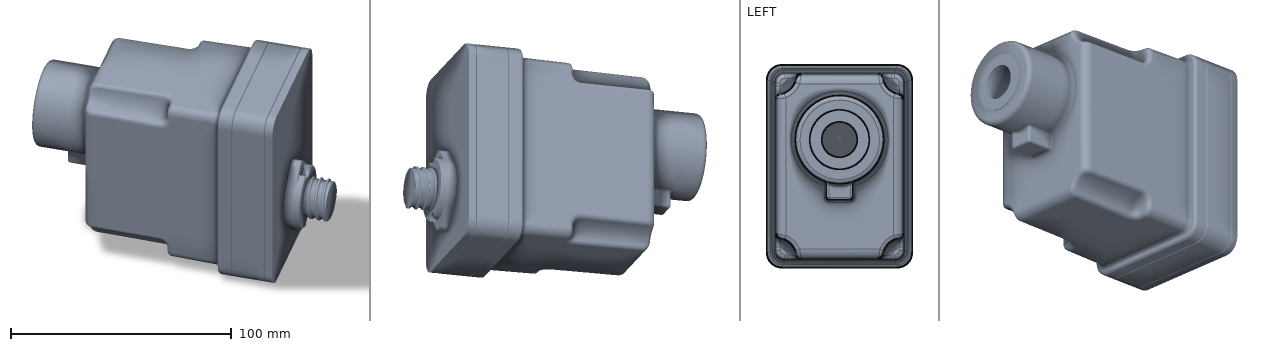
import cadquery as cq
import math

insert_proud = 0.4
body_start = 27.5
flange_start = 91.7
seam_centres = (98.6, 113.8)
housing_end = 117.8
overall_length = 136.0

flange_width = 66.0
flange_height = 92.0
flange_corner_radius = 7.1
flange_edge_radius = 1.5
seam_edge_radius = 0.6
body_front_width = 56.8
body_front_height = 83.0
draft_angle = 0.75
body_edge_radius = 4.1

scoop_radius = 9.0
scoop_end = 66.8
scoop_end_radius = 3.8
scoop_rim_radius = 2.0
contact_tolerance = 0.001

barrel_z = 12.1
barrel_diameter = 40.0
barrel_edge_radius = 2.0
insert_diameter = 26.9
insert_bore = 16.0
insert_length = 27.2
key_start = 13.6
key_width = 11.8
key_bottom = -15.1
key_edge_radius = 1.02
key_root_radius = 1.1
joint_overlap = 1.4

connector_z = -15.9
hub_diameter = 29.1
hub_length = 7.3
hub_chamfer = 0.4
hub_end = housing_end + hub_length
lug_radius = 3.89
lug_offset = 15.0
lug_thickness = 4.4
screw_clearance_diameter = 7.5
thread_core_diameter = 17.7
thread_crest_diameter = 19.5
thread_pitch = 3.47
thread_root_width = 1.6
thread_crest_width = 0.7
thread_first_crest = 126.9
thread_embed = 0.3


def disc(x, z, diameter, length):
    """Cylinder along +X, starting at x, with its axis at height z."""
    return cq.Workplane("YZ", origin=(x, 0, z)).circle(diameter / 2).extrude(length)


def make_tapered_blank():
    """Drafted box that grows towards the flange, with its long and front edges rounded."""
    length = flange_start - body_start
    growth = 2 * length * math.tan(math.radians(draft_angle))
    return (
        cq.Workplane("YZ", origin=(flange_start, 0, 0))
        .rect(body_front_width + growth, body_front_height + growth)
        .extrude(-length, taper=draft_angle)
        .edges("(not <X) and (not >X)")
        .fillet(body_edge_radius)
        .faces("<X")
        .edges()
        .fillet(body_edge_radius)
    )


def make_scoop(side_y, side_z):
    """Round-ended cutter centred on one front corner of the body; the sides are +1 or -1."""
    corner = (0, side_y * body_front_width / 2, side_z * body_front_height / 2)
    return (
        cq.Workplane("YZ", origin=corner)
        .circle(scoop_radius)
        .extrude(scoop_end)
        .faces(">X")
        .edges()
        .fillet(scoop_end_radius)
    )


def lies_on(point, workplane):
    """True if the point is on the surface of the workplane's solid."""
    surface = workplane.val().Shells()[0]
    return cq.Vertex.makeVertex(*point.toTuple()).distance(surface) < contact_tolerance


def make_scooped_body():
    """Tapered body with a scoop along each long edge; the scoop rims are rounded."""
    blank = make_tapered_blank()
    body = blank
    rims = []
    scoops = [make_scoop(side_y, side_z) for side_y in (-1, 1) for side_z in (-1, 1)]
    for scoop in scoops:
        body = body.cut(scoop)
    for edge in body.edges().vals():
        middle = edge.positionAt(0.5)
        if lies_on(middle, blank) and any(lies_on(middle, scoop) for scoop in scoops):
            rims.append(edge)
    return body.newObject(rims).fillet(scoop_rim_radius)


def make_flange():
    return (
        cq.Workplane("YZ", origin=(flange_start, 0, 0))
        .rect(flange_width, flange_height)
        .extrude(housing_end - flange_start)
        .edges("|X")
        .fillet(flange_corner_radius)
        .faces("<X")
        .edges()
        .fillet(flange_edge_radius)
    )


def make_barrel():
    return (
        disc(insert_proud, barrel_z, barrel_diameter, body_start + joint_overlap - insert_proud)
        .faces("<X")
        .edges()
        .fillet(barrel_edge_radius)
    )


def make_key():
    """Rectangular key that runs along the underside of the barrel to the body."""
    return (
        cq.Workplane("XY", origin=(key_start, -key_width / 2, key_bottom))
        .box(body_start + joint_overlap - key_start, key_width, barrel_z - key_bottom, centered=False)
        .edges("|X and <Z")
        .fillet(key_edge_radius)
        .faces("<X")
        .edges()
        .fillet(key_edge_radius)
    )


def edges_in_plane(part, x, half_width, bottom, top):
    """Edges lying flat at x whose centres are inside the given Y and Z limits."""
    found = []
    for edge in part.edges().vals():
        centre = edge.Center()
        flat = edge.BoundingBox().xlen < 0.01 and abs(centre.x - x) < 0.01
        if flat and abs(centre.y) < half_width and bottom < centre.z < top:
            found.append(edge)
    return part.newObject(found)


def make_whole_housing():
    housing = make_scooped_body().union(make_flange())
    body_root = edges_in_plane(housing, flange_start, flange_width / 2 - 2.0, -44.9, 44.9)
    housing = body_root.fillet(flange_edge_radius)
    housing = housing.union(make_barrel())
    barrel_top = barrel_z + barrel_diameter / 2
    barrel_root = edges_in_plane(housing, body_start, 1.4, barrel_z - 1.4, barrel_z + 1.4)
    housing = barrel_root.fillet(barrel_edge_radius)
    housing = housing.union(make_key())
    key_root = edges_in_plane(housing, body_start, key_width, key_bottom - 1.4, -9.5)
    housing = key_root.fillet(key_root_radius)
    return housing.cut(disc(0, barrel_z, insert_diameter, insert_length))


def make_housing_parts():
    """Housing split at its seams; the edges that meet at each seam are rounded."""
    whole = make_whole_housing()
    limits = (0, *seam_centres, housing_end)
    parts = []
    for index in range(len(limits) - 1):
        start = limits[index]
        length = limits[index + 1] - start
        slab = cq.Workplane("YZ", origin=(start, 0, 0)).rect(overall_length, overall_length).extrude(length)
        part = whole.intersect(slab)
        if limits[index + 1] in seam_centres:
            part = part.faces(">X").edges().fillet(seam_edge_radius)
        if start in seam_centres:
            part = part.faces("<X").edges().fillet(seam_edge_radius)
        parts.append(part)
    return parts


def make_insert():
    return disc(0, barrel_z, insert_diameter, insert_length).cut(
        disc(0, barrel_z, insert_bore, insert_length)
    )


def make_lug(side):
    """Tapered lug whose flanks are tangent to the hub; side is +1 for up, -1 for down."""
    hub_radius = hub_diameter / 2
    flank_angle = math.acos((hub_radius - lug_radius) / lug_offset)
    across = math.sin(flank_angle)
    along = math.cos(flank_angle)
    hub_y = hub_radius * across
    hub_z = side * hub_radius * along
    tip_y = lug_radius * across
    tip_z = side * (lug_offset + lug_radius * along)
    return (
        cq.Workplane("YZ", origin=(housing_end, 0, connector_z))
        .moveTo(-hub_y, hub_z)
        .lineTo(-tip_y, tip_z)
        .threePointArc((0, side * (lug_offset + lug_radius)), (tip_y, tip_z))
        .lineTo(hub_y, hub_z)
        .close()
        .extrude(lug_thickness)
    )


def make_threaded_post():
    """Core with a right-hand helical ridge, trimmed between the hub and the outer end."""
    turns = math.ceil((overall_length - hub_end) / thread_pitch) + 1
    core_radius = thread_core_diameter / 2
    crest_radius = thread_crest_diameter / 2
    root_radius = core_radius - thread_embed
    ridge_profile = [
        (root_radius, -thread_root_width / 2),
        (crest_radius, -thread_crest_width / 2),
        (crest_radius, thread_crest_width / 2),
        (root_radius, thread_root_width / 2),
    ]
    helix = cq.Wire.makeHelix(thread_pitch, turns * thread_pitch, core_radius)
    ridge = cq.Workplane("XZ").polyline(ridge_profile).close().sweep(cq.Workplane(helix), isFrenet=True)
    core = (
        cq.Workplane("XY", origin=(0, 0, -thread_pitch))
        .circle(core_radius)
        .extrude((turns + 2) * thread_pitch)
    )
    helix_start = thread_first_crest - 1.5 * thread_pitch
    post = core.union(ridge).rotate((0, 0, 0), (0, 1, 0), 90).translate((helix_start, 0, connector_z))
    return post.intersect(disc(hub_end, connector_z, hub_diameter, overall_length - hub_end))


def make_connector():
    connector = (
        disc(housing_end, connector_z, hub_diameter, hub_length)
        .faces(">X")
        .edges()
        .chamfer(hub_chamfer)
    )
    for side in (-1, 1):
        connector = connector.union(make_lug(side))
    for side in (-1, 1):
        screw_z = connector_z + side * lug_offset
        clearance = disc(housing_end + lug_thickness, screw_z, screw_clearance_diameter, hub_length)
        connector = connector.cut(clearance)
    return connector.union(make_threaded_post())


housing_parts = make_housing_parts()
insert = make_insert()
connector = make_connector()
result = cq.Compound.makeCompound(
    [solid for part in (*housing_parts, insert, connector) for solid in part.solids().vals()]
)